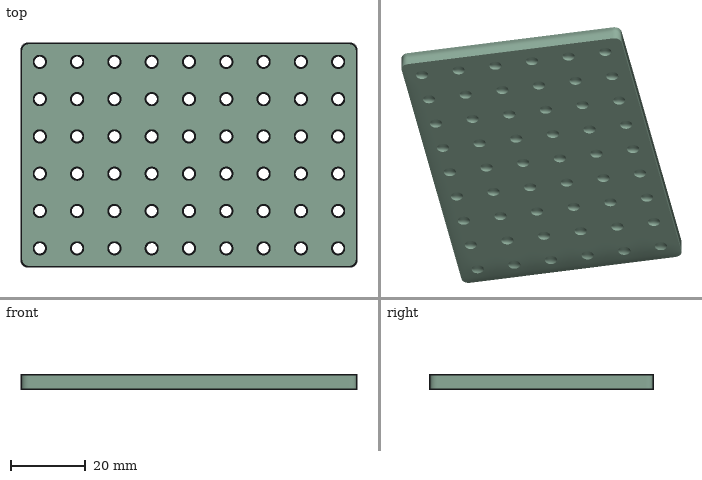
import cadquery as cq

length = 90.0
columns = 9
rows = 6
thickness = 4.0
corner_radius = 2.0
hole_diameter = 3.2

pitch = length / columns
width = rows * pitch

plate = (
    cq.Workplane("XY")
    .box(length, width, thickness, centered=(True, True, False))
    .edges("|Z")
    .fillet(corner_radius)
)

result = (
    plate.faces(">Z")
    .workplane(origin=(0, 0, thickness))
    .rarray(pitch, pitch, columns, rows)
    .hole(hole_diameter)
)